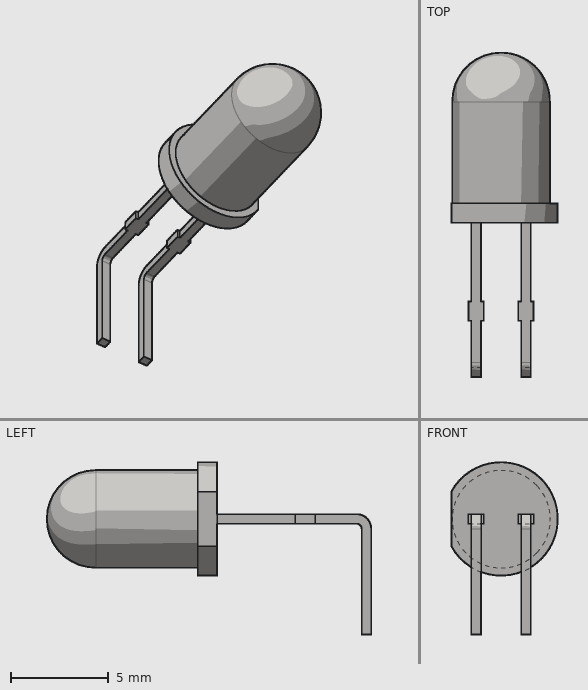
import cadquery as cq
import math


lens_diameter = 5.0
lens_radius = lens_diameter / 2
lens_length = 8.7
dome_start = lens_length - lens_radius
flange_diameter = 5.8
flange_radius = flange_diameter / 2
flange_thickness = 1.0
flat_offset = 2.54

lead_pitch = 2.54
lead_size = 0.5
bend_reach = 7.62
lead_drop = 5.9
bend_inner_radius = 0.25
bend_outer_radius = bend_inner_radius + lead_size

tab_width = 0.8
tab_start = 4.0
tab_length = 1.0


def make_lens():
    """Revolve the cylinder and its hemispherical dome about the Y axis."""
    diagonal = lens_radius * math.sqrt(0.5)
    return (
        cq.Workplane("XY")
        .lineTo(lens_radius, 0)
        .lineTo(lens_radius, dome_start)
        .threePointArc((diagonal, dome_start + diagonal), (0, lens_length))
        .close()
        .revolve(360, (0, 0, 0), (0, 1, 0))
    )


def make_flange():
    """Disc with one flat cut on the -X side."""
    disc = cq.Workplane("XZ").circle(flange_radius).extrude(-flange_thickness)
    keep_width = flat_offset + flange_radius
    keep = cq.Workplane("XY").box(
        keep_width, flange_thickness, flange_diameter, centered=(False, False, True)
    )
    return disc.intersect(keep.translate((-flat_offset, 0, 0)))


def make_lead(x_center):
    """Square lead running to -Y, bent down to -Z, with its stand-off tab."""
    half = lead_size / 2
    outer_y = -bend_reach - half
    inner_y = -bend_reach + half
    wire = (
        cq.Workplane("YZ", origin=(x_center, 0, 0))
        .moveTo(0, half)
        .lineTo(outer_y + bend_outer_radius, half)
        .radiusArc((outer_y, half - bend_outer_radius), -bend_outer_radius)
        .lineTo(outer_y, -lead_drop)
        .lineTo(inner_y, -lead_drop)
        .lineTo(inner_y, -half - bend_inner_radius)
        .radiusArc((inner_y + bend_inner_radius, -half), bend_inner_radius)
        .lineTo(0, -half)
        .close()
        .extrude(half, both=True)
    )
    tab_center_y = -tab_start - tab_length / 2
    tab = cq.Workplane("XY").box(tab_width, tab_length, lead_size)
    return wire.union(tab.translate((x_center, tab_center_y, 0)))


result = make_lens().union(make_flange())
for side in (-1, 1):
    result = result.union(make_lead(side * lead_pitch / 2))